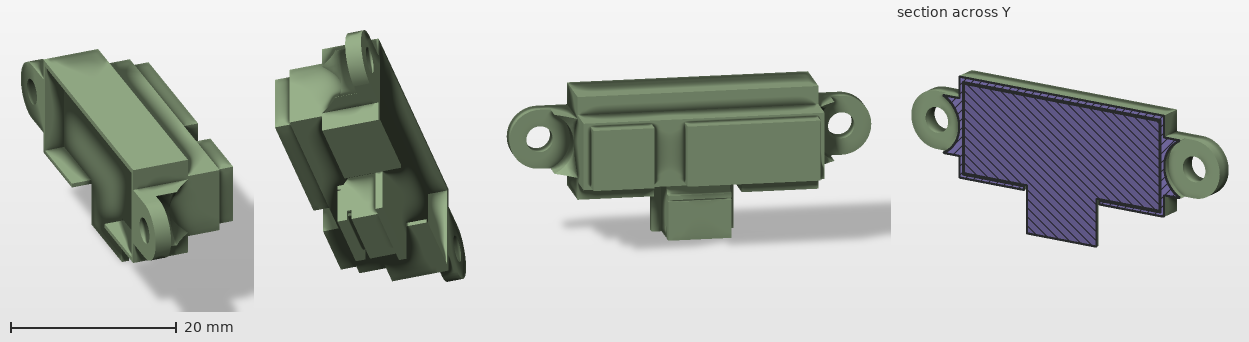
import cadquery as cq


total_length = 44.3
body_width = 29.5
body_height = 12.8
body_depth = 7.1
optics_height = 8.3
optics_back = 11.2

lens_height = 7.5
lens_back = 13.3
lens_inset = 0.85
wide_lens_width = 16.3
narrow_lens_width = 7.5

ear_height = 7.35
ear_radius = ear_height / 2
ear_thickness = 2.0
ear_hole_diameter = 3.25
ear_hole_x = total_length / 2 - ear_radius
shoulder_half_span = 17.15
clearance_radius = 4.0
clearance_cone_start = 4.7
clearance_cone_radius = 5.4
clearance_x = body_width / 2 + clearance_radius

board_clearance = 0.11
side_wall = 0.58
top_wall = 0.65
bottom_wall = 0.55
board_front = 2.4
board_thickness = 0.95
board_back = board_front + board_thickness
overall_height = 18.2
tongue_width = 10.0
cable_slot_width = 10.7

connector_width = 7.75
connector_back = 8.4
connector_bottom_gap = 0.15
connector_shelf_z = -6.05
connector_shelf_y = 7.65
connector_top_z = -5.15
latch_groove_depth = 0.4
latch_groove_height = 0.2
latch_groove_z = -6.85
key_slot_front = 6.65
key_slot_width = 0.58
key_slot_depth = 1.0
key_notch_depth = 1.4
key_notch_length = 0.5

body_top = body_height / 2
body_bottom = -body_height / 2
tongue_bottom = body_top - overall_height
cavity_half_width = body_width / 2 - side_wall
cavity_top = body_top - top_wall
cavity_bottom = body_bottom + bottom_wall
connector_bottom = tongue_bottom + connector_bottom_gap


def box_between(x_range, y_range, z_range):
    """Box spanning the given (low, high) ranges."""
    ranges = (x_range, y_range, z_range)
    size = [high - low for low, high in ranges]
    corner = [low for low, high in ranges]
    return cq.Workplane("XY").box(*size, centered=False).translate(tuple(corner))


def centred(width):
    """Range of the given width about zero."""
    return (-width / 2, width / 2)


def y_cylinder(x, radius, y_start, y_end):
    """Cylinder along Y at mid-height."""
    return cq.Workplane(cq.Solid.makeCylinder(
        radius, y_end - y_start, cq.Vector(x, y_start, 0), cq.Vector(0, 1, 0)))


def make_ear_plate():
    """Round-ended plate that runs through both mounting ears."""
    plate = box_between(centred(2 * ear_hole_x), (0, ear_thickness), centred(ear_height))
    for x in (-ear_hole_x, ear_hole_x):
        plate = plate.union(y_cylinder(x, ear_radius, 0, ear_thickness))
    return plate


def make_shoulders():
    """Block behind the ears, hollowed by a flared screw-head clearance at each end."""
    shoulders = box_between(centred(2 * shoulder_half_span), (0, body_depth), centred(ear_height))
    for x in (-clearance_x, clearance_x):
        flare = cq.Workplane(cq.Solid.makeCone(
            clearance_radius, clearance_cone_radius, body_depth - clearance_cone_start,
            cq.Vector(x, clearance_cone_start, 0), cq.Vector(0, 1, 0)))
        bore = y_cylinder(x, clearance_radius, ear_thickness, clearance_cone_start)
        shoulders = shoulders.cut(bore).cut(flare)
    return shoulders


def make_lenses():
    """Wide lens block at the -X end and narrow one at the +X end."""
    lens_end = body_width / 2 - lens_inset
    lens_y = (optics_back, lens_back)
    wide = box_between((-lens_end, wide_lens_width - lens_end), lens_y, centred(lens_height))
    narrow = box_between((lens_end - narrow_lens_width, lens_end), lens_y, centred(lens_height))
    return wide, narrow


def make_housing():
    housing = box_between(centred(body_width), (0, body_depth), centred(body_height))
    optics = box_between(centred(body_width), (0, optics_back), centred(optics_height))
    housing = housing.union(optics).union(make_shoulders()).union(make_ear_plate())
    for lens in make_lenses():
        housing = housing.union(lens)
    for x in (-ear_hole_x, ear_hole_x):
        housing = housing.cut(y_cylinder(x, ear_hole_diameter / 2, 0, ear_thickness))
    cavity = box_between(
        centred(2 * cavity_half_width), (0, board_back), (cavity_bottom, cavity_top))
    cable_slot = box_between(
        centred(cable_slot_width), (0, body_depth), (body_bottom, connector_top_z))
    return housing.cut(cavity).cut(cable_slot)


def make_connector():
    """Stepped connector shell with a latch groove at the back and a key slot underneath."""
    half_width = connector_width / 2
    connector = (
        cq.Workplane("YZ", origin=(-half_width, 0, 0))
        .moveTo(board_back, connector_bottom)
        .lineTo(connector_back, connector_bottom)
        .lineTo(connector_back, connector_shelf_z)
        .lineTo(connector_shelf_y, connector_shelf_z)
        .lineTo(body_depth, connector_top_z)
        .lineTo(board_back, connector_top_z)
        .close()
        .extrude(connector_width)
    )
    latch_groove = box_between(
        centred(connector_width),
        (connector_back - latch_groove_depth, connector_back),
        (latch_groove_z, latch_groove_z + latch_groove_height))
    key_y = (key_slot_front, key_slot_front + key_slot_width)
    key_slot = box_between(
        centred(connector_width), key_y, (connector_bottom, connector_bottom + key_slot_depth))
    connector = connector.cut(latch_groove).cut(key_slot)
    for x_start in (-half_width, half_width - key_notch_length):
        notch = box_between(
            (x_start, x_start + key_notch_length),
            key_y,
            (connector_bottom, connector_bottom + key_notch_depth))
        connector = connector.cut(notch)
    return connector


def make_board():
    """Circuit board, its tongue and the connector as one solid."""
    board_y = (board_front, board_back)
    board_half_width = cavity_half_width - board_clearance
    board_z = (cavity_bottom + board_clearance, cavity_top - board_clearance)
    panel = box_between(centred(2 * board_half_width), board_y, board_z)
    tongue = box_between(centred(tongue_width), board_y, (tongue_bottom, cavity_top - board_clearance))
    return panel.union(tongue).union(make_connector())


housing = make_housing()
board = make_board()

result = cq.Compound.makeCompound([housing.val(), board.val()])